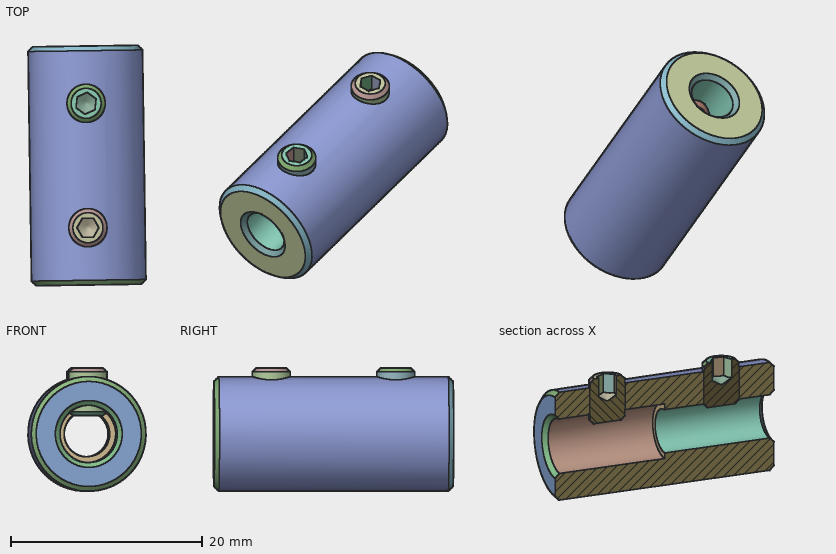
import cadquery as cq
import math

SLEEVE_DIAMETER = 12.0
SLEEVE_LENGTH = 25.0
SLEEVE_CHAMFER = 0.5
FRONT_BORE_DIAMETER = 6.0
REAR_BORE_DIAMETER = 4.75
BORE_CHAMFER = 0.5
AXIS_TURN = 0.85

SCREW_DIAMETER = 4.0
SCREW_LENGTH = 5.0
SCREW_TOP = 6.92
SCREW_SPACING = 13.0
SCREW_CHAMFER = 0.43

SOCKET_FLATS = 2.0
SOCKET_CORNERS = SOCKET_FLATS / math.cos(math.radians(30))
SOCKET_DEPTH = 2.01
SOCKET_CONE_DEPTH = 0.68

SCREW_PLACES = [(-SCREW_SPACING / 2, 0), (SCREW_SPACING / 2, 24)]


def cylinder_along_y(diameter, start, end):
    """Cylinder on the Y axis from y = start to y = end."""
    direction = cq.Vector(0, 1, 0)
    return cq.Workplane(cq.Solid.makeCylinder(diameter / 2, end - start, cq.Vector(0, start, 0), direction))


def bore_chamfer(bore_diameter, side):
    """Cone that breaks the bore's edge at the front (side = -1) or rear (side = 1) face."""
    bore_radius = bore_diameter / 2
    mouth = cq.Vector(0, side * SLEEVE_LENGTH / 2, 0)
    inward = cq.Vector(0, -side, 0)
    return cq.Workplane(
        cq.Solid.makeCone(bore_radius + BORE_CHAMFER, bore_radius, BORE_CHAMFER, mouth, inward)
    )


def make_sleeve():
    """Chamfered tube with a stepped bore and a radial hole for each screw."""
    half_length = SLEEVE_LENGTH / 2
    sleeve = cylinder_along_y(SLEEVE_DIAMETER, -half_length, half_length).edges("%CIRCLE").chamfer(SLEEVE_CHAMFER)

    sleeve = sleeve.cut(cylinder_along_y(FRONT_BORE_DIAMETER, -half_length, 0))
    sleeve = sleeve.cut(cylinder_along_y(REAR_BORE_DIAMETER, 0, half_length))
    sleeve = sleeve.cut(bore_chamfer(FRONT_BORE_DIAMETER, -1))
    sleeve = sleeve.cut(bore_chamfer(REAR_BORE_DIAMETER, 1))

    for position, _ in SCREW_PLACES:
        hole = cq.Workplane("XY").center(0, position).circle(SCREW_DIAMETER / 2).extrude(SLEEVE_DIAMETER / 2)
        sleeve = sleeve.cut(hole)
    return sleeve


def make_socket():
    """Hexagonal cutter with a conical tip, its mouth at z = 0 and its tip pointing down."""
    full_depth = SOCKET_DEPTH + SOCKET_CONE_DEPTH
    hexagon = cq.Workplane("XY").polygon(6, SOCKET_CORNERS).extrude(-full_depth)
    radius = SOCKET_CORNERS / 2
    drill_profile = (
        cq.Workplane("XZ")
        .moveTo(0, 0)
        .lineTo(radius, 0)
        .lineTo(radius, -SOCKET_DEPTH)
        .lineTo(0, -full_depth)
        .close()
    )
    drill = drill_profile.revolve(360, (0, 0, 0), (0, 1, 0))
    return hexagon.intersect(drill)


def make_screw(position, corner_angle):
    """Headless set screw standing in the sleeve's radial hole."""
    screw = cq.Workplane("XY").circle(SCREW_DIAMETER / 2).extrude(-SCREW_LENGTH)
    screw = screw.edges("%CIRCLE").chamfer(SCREW_CHAMFER)
    socket = make_socket().rotate((0, 0, 0), (0, 0, 1), corner_angle - AXIS_TURN)
    return screw.cut(socket).translate((0, position, SCREW_TOP))


def turn_axis(body):
    """Turn a finished body to the direction of the sleeve's axis."""
    return body.rotate((0, 0, 0), (0, 0, 1), AXIS_TURN)


sleeve = turn_axis(make_sleeve())
screws = [turn_axis(make_screw(position, angle)) for position, angle in SCREW_PLACES]

result = cq.Compound.makeCompound([sleeve.val(), *[screw.val() for screw in screws]])